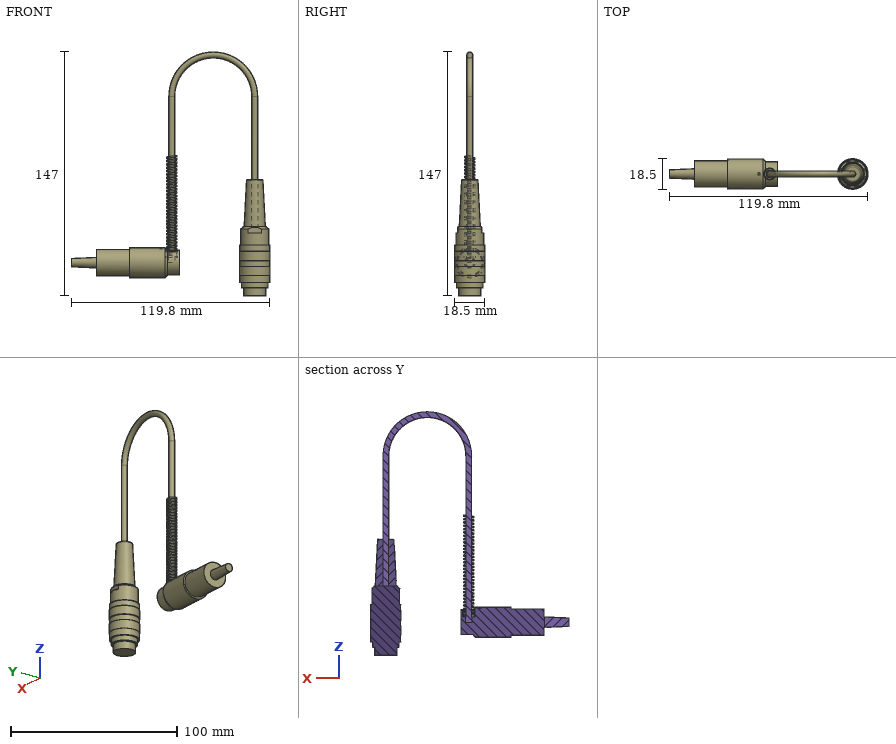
import cadquery as cq

CABLE_DIAMETER = 3.7
CABLE_LEFT_LEG = 100.0
CABLE_BEND_RADIUS = 25.0
CONNECTOR_X = 2 * CABLE_BEND_RADIUS

TIP_END_DIAMETER = 5.1
TIP_ROOT_DIAMETER = 6.5
TIP_LENGTH = 15.0
COLLAR_DIAMETER = 16.0
COLLAR_LENGTH = 20.0
BODY_DIAMETER = 18.2
BODY_LENGTH = 21.5
BODY_BEVEL_LENGTH = 1.5
NECK_DIAMETER = 15.0
NECK_LENGTH = 7.2
NECK_END_X = 4.7
NECK_START_X = NECK_END_X - NECK_LENGTH
BODY_END_X = NECK_START_X - BODY_BEVEL_LENGTH
BODY_START_X = BODY_END_X - BODY_LENGTH
COLLAR_START_X = BODY_START_X - COLLAR_LENGTH
TIP_START_X = COLLAR_START_X - TIP_LENGTH

MARK_HOLE_DIAMETER = 1.5
MARK_HOLE_DEPTH = 0.7
MARK_HOLE_X = -6.5

SPRING_DIAMETER = 6.5
SPRING_WIRE_DIAMETER = 1.0
SPRING_PITCH = 2.0
SPRING_TURNS = 30
SPRING_TOP_Z = 64.6
SPRING_RADIUS = (SPRING_DIAMETER - SPRING_WIRE_DIAMETER) / 2
SPRING_HEIGHT = SPRING_PITCH * SPRING_TURNS
SPRING_START_Z = SPRING_TOP_Z - SPRING_WIRE_DIAMETER / 2 - SPRING_HEIGHT
SPRING_SEAT_DIAMETER = 7.0
SPRING_SEAT_Z = SPRING_START_Z - SPRING_WIRE_DIAMETER

BOOT_TOP_DIAMETER = 10.0
BOOT_ROOT_DIAMETER = 12.9
BOOT_HEIGHT = 28.3
BOOT_ROUNDING = 0.7
BOOT_TOP_Z = CABLE_LEFT_LEG / 2
CONNECTOR_TOP_Z = BOOT_TOP_Z - BOOT_HEIGHT

SHELL_DIAMETER = 16.9
SHELL_HEIGHT = 11.2
SHELL_CHAMFER = 1.5
FLAT_SPACING = 14.7
FLAT_HEIGHT = 3.7
RING_DIAMETER = 18.2
GRIP_DIAMETER = 18.5
SHOULDER_DIAMETER = 16.0
PLUG_DIAMETER = 13.5
EDGE_CHAMFER = 0.3
BOTH_ENDS = "|Z"
LOWER_END = "<Z"
CONNECTOR_SECTIONS = [
    (RING_DIAMETER, 3.5, None),
    (GRIP_DIAMETER, 5.9, BOTH_ENDS),
    (RING_DIAMETER, 3.4, None),
    (GRIP_DIAMETER, 5.6, None),
    (RING_DIAMETER, 4.1, None),
    (SHOULDER_DIAMETER, 3.4, LOWER_END),
    (PLUG_DIAMETER, 4.7, None),
]


def cylinder_x(diameter, start_x, length):
    """Cylinder along +X on the handpiece axis."""
    return cq.Workplane("YZ", origin=(start_x, 0, 0)).circle(diameter / 2).extrude(length)


def cylinder_z(diameter, base, height):
    """Upright cylinder from the centre of its lower face."""
    return cq.Workplane("XY", origin=base).circle(diameter / 2).extrude(height)


def cone(bottom_diameter, top_diameter, height, base, direction):
    """Truncated cone that starts at base and runs along direction."""
    return cq.Workplane(cq.Solid.makeCone(
        bottom_diameter / 2, top_diameter / 2, height, cq.Vector(*base), cq.Vector(*direction)))


def make_tip():
    return cone(TIP_END_DIAMETER, TIP_ROOT_DIAMETER, TIP_LENGTH, (TIP_START_X, 0, 0), (1, 0, 0))


def make_handpiece():
    collar = cylinder_x(COLLAR_DIAMETER, COLLAR_START_X, COLLAR_LENGTH)
    body = cylinder_x(BODY_DIAMETER, BODY_START_X, BODY_LENGTH)
    bevel = cone(BODY_DIAMETER, NECK_DIAMETER, BODY_BEVEL_LENGTH, (BODY_END_X, 0, 0), (1, 0, 0))
    neck = cylinder_x(NECK_DIAMETER, NECK_START_X, NECK_LENGTH)
    handpiece = collar.union(body).union(bevel).union(neck)

    cable_hole = cylinder_z(CABLE_DIAMETER, (0, 0, 0), BODY_DIAMETER)
    spring_seat = cylinder_z(SPRING_SEAT_DIAMETER, (0, 0, SPRING_SEAT_Z), BODY_DIAMETER)
    mark_hole_floor = BODY_DIAMETER / 2 - MARK_HOLE_DEPTH
    mark_hole = cylinder_z(MARK_HOLE_DIAMETER, (MARK_HOLE_X, 0, mark_hole_floor), BODY_DIAMETER)
    return handpiece.cut(cable_hole).cut(spring_seat).cut(mark_hole)


def make_spring():
    helix = cq.Wire.makeHelix(SPRING_PITCH, SPRING_HEIGHT, SPRING_RADIUS)
    coil = cq.Workplane("XZ", origin=(SPRING_RADIUS, 0, 0)).circle(SPRING_WIRE_DIAMETER / 2)
    return coil.sweep(cq.Workplane(helix), isFrenet=True).translate((0, 0, SPRING_START_Z))


def make_cable():
    """Left leg up from the handpiece, half-circle bend, right leg down to the connector."""
    bend_top = (CABLE_BEND_RADIUS, CABLE_LEFT_LEG + CABLE_BEND_RADIUS)
    path = (
        cq.Workplane("XZ")
        .lineTo(0, CABLE_LEFT_LEG)
        .threePointArc(bend_top, (CONNECTOR_X, CABLE_LEFT_LEG))
        .lineTo(CONNECTOR_X, CONNECTOR_TOP_Z)
    )
    return cq.Workplane("XY").circle(CABLE_DIAMETER / 2).sweep(path)


def make_boot():
    base = (CONNECTOR_X, 0, CONNECTOR_TOP_Z)
    boot = cone(BOOT_ROOT_DIAMETER, BOOT_TOP_DIAMETER, BOOT_HEIGHT, base, (0, 0, 1))
    boot = boot.faces(">Z").edges().fillet(BOOT_ROUNDING)
    return boot.cut(cylinder_z(CABLE_DIAMETER, base, BOOT_HEIGHT))


def make_back_shell():
    """Round shell with a chamfered top and two wrench flats facing -Y and +Y."""
    base_z = CONNECTOR_TOP_Z - SHELL_HEIGHT
    shell = cylinder_z(SHELL_DIAMETER, (CONNECTOR_X, 0, base_z), SHELL_HEIGHT)
    shell = shell.faces(">Z").edges().chamfer(SHELL_CHAMFER)
    for side in (-1, 1):
        cutter_center = (CONNECTOR_X, side * FLAT_SPACING, CONNECTOR_TOP_Z - FLAT_HEIGHT / 2)
        cutter = cq.Workplane("XY", origin=cutter_center).box(SHELL_DIAMETER, FLAT_SPACING, FLAT_HEIGHT)
        shell = shell.cut(cutter)
    return shell


def make_connector():
    connector = make_back_shell()
    section_top = CONNECTOR_TOP_Z - SHELL_HEIGHT
    for diameter, height, chamfered_ends in CONNECTOR_SECTIONS:
        section_base = section_top - height
        section = cylinder_z(diameter, (CONNECTOR_X, 0, section_base), height)
        if chamfered_ends:
            section = section.faces(chamfered_ends).edges().chamfer(EDGE_CHAMFER)
        connector = connector.union(section)
        section_top = section_base
    return connector


tip = make_tip()
handpiece = make_handpiece()
spring = make_spring()
cable = make_cable()
boot = make_boot()
connector = make_connector()

result = cq.Compound.makeCompound([
    tip.val(),
    handpiece.val(),
    spring.val(),
    cable.val(),
    boot.val(),
    connector.val(),
])